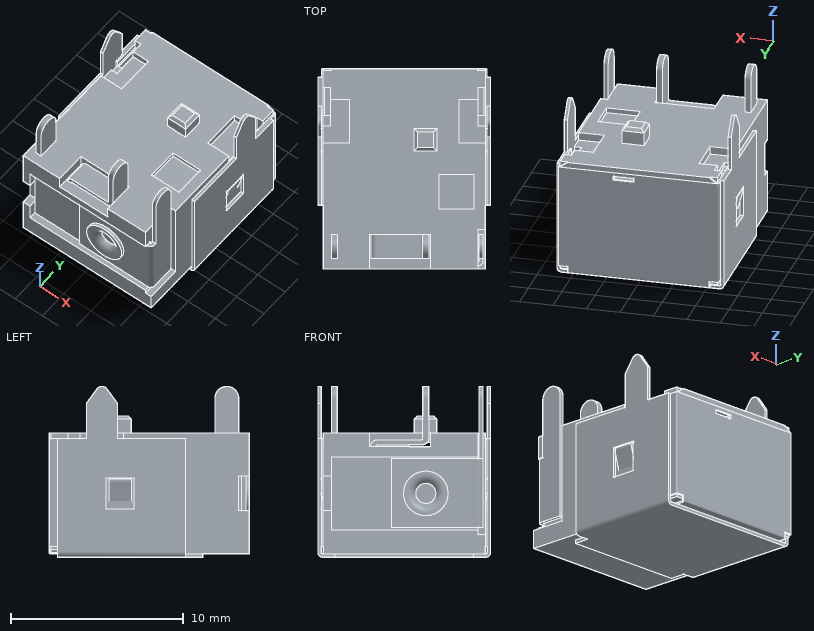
import cadquery as cq
import math


total_width = 10.0
total_length = 11.6
total_height = 9.9
shell_thickness = 0.2
cover_thickness = 0.1

shell_outer = total_width / 2
shell_inner = shell_outer - shell_thickness
housing_side = shell_inner - cover_thickness
housing_height = 7.01
pin_top = total_height - shell_thickness
front = -total_length / 2
rear = total_length / 2
cover_inner = rear - cover_thickness

shell_front = -2.11
shell_rear = 5.31
shell_top = 6.67
shell_bend_radius = 0.29
tongue_front = -3.1
tongue_half_width = 4.01
tab_center = 2.74
tab_width = 1.81
tab_shoulder = 8.71
tip_half_width = 0.31
tip_height = 0.17
window_y = (0.89, 2.49)
window_z = (2.59, 4.41)

peg_x = (0.57, 1.89)
lug_y = (1.03, 2.33)
peg_top = 7.99
peg_chamfer = 0.2
lug_bottom = 3.05
lug_edge = 4.18
lug_top = 4.35
rear_ledge_half_width = 4.23

cover_bottom = 0.42
lip_half_width = 4.23
cover_front = 3.07
cover_bend_radius = cover_thickness
lip_front = 4.64
lip_recess_height = 0.23

slot_inner = 4.28
side_slot_y = (2.47, 4.7)
side_slot_depth = 0.7
slot_well_outer = 4.6
slot_well_depth = 1.16
side_pocket_inner = 3.17
side_pocket_y = (1.5, 4.0)
side_pocket_depth = 0.48
square_x = (2.02, 4.03)
square_y = (-2.32, -0.31)
square_depth = 0.3
pin_pocket_x = (-2.02, 1.51)
pin_pocket_floor = 6.21
channel_left = 0.28
channel_top = 6.44

recess_left = -4.2
recess_z = (1.38, 5.61)
recess_floor = front + 0.45
notch_height = 2.0
notch_depth = 0.63
contact_slot_bottom = 1.11
contact_slot_rear = -3.51

pin_width = 1.39
pin_rear = -3.79
pin_front = pin_rear - pin_width
thick_pin = 0.36
left_pin_x = -4.22
center_pin_x = 1.07
strip_thickness = 0.29
strip_bottom = 6.31
strip_bend_left = -1.57
strip_bend_radius = 0.37
strip_inner_radius = 0.1
plate_x = (-0.73, 4.57)
plate_z = (1.53, 5.51)
plate_thickness = 0.25
plate_bend_radius = 0.28
hub_x = center_pin_x + thick_pin / 2
hub_z = housing_height / 2
hub_radius = 1.29
mouth_radius = 1.1
bore_radius = 0.58


def box(x_range, y_range, z_range):
    """Box between the given limits along each axis."""
    size = [high - low for low, high in (x_range, y_range, z_range)]
    corner = (x_range[0], y_range[0], z_range[0])
    return cq.Workplane("XY").box(*size, centered=False).translate(corner)


def both_sides(shape):
    """The shape together with its mirror image across X = 0."""
    return shape.union(shape.mirror("YZ"))


def arc_middle(center, radius, side_u, side_v):
    """Middle of a quarter arc on the given sides (1 or -1) of its center, in sketch coordinates."""
    offset = radius * math.sqrt(0.5)
    return (center[0] + side_u * offset, center[1] + side_v * offset)


def rear_channel():
    """Passage from the pocket of the middle pin out through the rear."""
    return box((channel_left, pin_pocket_x[1]), (pin_rear, rear), (pin_pocket_floor, channel_top))


def shell_tab():
    """Pointed solder tab with a rounded tip, rising from the side at +X."""
    half = tab_width / 2
    tip_shoulder = pin_top - tip_height
    return (
        cq.Workplane("YZ", origin=(shell_inner, tab_center, 0))
        .moveTo(-half, shell_top - shell_thickness)
        .lineTo(half, shell_top - shell_thickness)
        .lineTo(half, tab_shoulder)
        .lineTo(tip_half_width, tip_shoulder)
        .threePointArc((0, pin_top), (-tip_half_width, tip_shoulder))
        .lineTo(-half, tab_shoulder)
        .close()
        .extrude(shell_thickness)
    )


def rear_cover():
    """Thin rear wall with two side flanges and a lip folded under the housing."""
    span = (-shell_inner, shell_inner)
    wrap = box(span, (cover_front, rear), (cover_bottom, shell_top))
    wrap = wrap.edges("|Z and >Y").fillet(cover_bend_radius)
    inside = box((-housing_side, housing_side), (cover_front, cover_inner), (cover_bottom, shell_top))
    wrap = wrap.cut(inside)
    lip_span = (-lip_half_width, lip_half_width)
    fold = box(lip_span, (lip_front, rear), (0, cover_bottom))
    fold = fold.edges("|X and >Y and <Z").fillet(cover_bend_radius)
    fold = fold.cut(box(lip_span, (lip_front, cover_inner), (cover_thickness, cover_bottom)))
    return wrap.union(fold)


def make_shell():
    """U-shaped sheet with a bottom tongue, rear cover, two solder tabs and two latch windows."""
    length_y = (shell_front, shell_rear)
    outside = box((-shell_outer, shell_outer), length_y, (-shell_thickness, shell_top))
    outside = outside.edges("|Y and <Z").fillet(shell_bend_radius)
    inside = box((-shell_inner, shell_inner), length_y, (0, shell_top))
    inside = inside.edges("|Y and <Z").fillet(shell_bend_radius - shell_thickness)
    tongue = box(
        (-tongue_half_width, tongue_half_width), (tongue_front, shell_front), (-shell_thickness, 0)
    )
    windows = box((-shell_outer, shell_outer), window_y, window_z)
    sheet = outside.cut(inside).union(tongue).union(both_sides(shell_tab())).cut(windows)
    return sheet.union(rear_cover().cut(rear_channel()))


def peg():
    """Square locating peg with a chamfered top."""
    return box(peg_x, lug_y, (housing_height, peg_top)).faces(">Z").chamfer(peg_chamfer)


def rear_ledge():
    """Strip along the rear top edge, bevelled at both ends, that overhangs the shell cover."""
    return (
        cq.Workplane("XZ", origin=(0, rear, 0))
        .polyline([
            (-housing_side, shell_top),
            (housing_side, shell_top),
            (rear_ledge_half_width, housing_height),
            (-rear_ledge_half_width, housing_height),
        ])
        .close()
        .extrude(cover_thickness)
    )


def latch_lugs():
    """Wedges on both sides that widen upwards into the shell windows."""
    lug = (
        cq.Workplane("XZ", origin=(0, lug_y[1], 0))
        .polyline([
            (housing_side, lug_bottom),
            (shell_outer, lug_edge),
            (shell_outer, lug_top),
            (housing_side, lug_top),
        ])
        .close()
        .extrude(lug_y[1] - lug_y[0])
    )
    return both_sides(lug)


def top_pockets():
    """Side pockets, side slots with their deeper wells, square recess, and the pocket of the middle pin."""
    slot = box((slot_inner, housing_side), side_slot_y, (housing_height - side_slot_depth, housing_height))
    slot_well = box(
        (slot_inner, slot_well_outer),
        (cover_front, side_slot_y[1]),
        (housing_height - slot_well_depth, housing_height),
    )
    side_pocket = box(
        (side_pocket_inner, housing_side),
        side_pocket_y,
        (housing_height - side_pocket_depth, housing_height),
    )
    square = box(square_x, square_y, (housing_height - square_depth, housing_height))
    pin_pocket = box(pin_pocket_x, (front, pin_rear), (pin_pocket_floor, housing_height))
    return both_sides(side_pocket.union(slot).union(slot_well)).union(square).union(pin_pocket)


def front_recess():
    """Recess in the front face with a notch at its left and the contact slot at its right."""
    recess = box((recess_left, slot_inner), (front, recess_floor), recess_z)
    notch = box(
        (-housing_side, recess_left),
        (front, front + notch_depth),
        (hub_z - notch_height / 2, hub_z + notch_height / 2),
    )
    contact_slot = box(
        (slot_inner, housing_side), (front, contact_slot_rear), (contact_slot_bottom, housing_height)
    )
    return recess.union(notch).union(contact_slot)


def lip_recess():
    """Relief under the rear edge for the folded lip of the rear cover."""
    return box((-housing_side, housing_side), (lip_front, cover_inner), (0, lip_recess_height))


def upright_pin(x_left, thickness, bottom):
    """Flat solder pin with a fully rounded top."""
    radius = pin_width / 2
    return (
        cq.Workplane("YZ", origin=(x_left, 0, 0))
        .moveTo(pin_front, bottom)
        .lineTo(pin_rear, bottom)
        .lineTo(pin_rear, pin_top - radius)
        .threePointArc((pin_rear - radius, pin_top), (pin_front, pin_top - radius))
        .close()
        .extrude(thickness)
    )


def middle_strip():
    """Foot of the middle pin: bent flat over the pocket floor, then down into it."""
    pin_right = center_pin_x + thick_pin
    strip_top = strip_bottom + strip_thickness
    right_outer_radius = strip_inner_radius + strip_thickness
    right_outer = (pin_right - right_outer_radius, strip_bottom + right_outer_radius)
    right_inner = (center_pin_x - strip_inner_radius, strip_top + strip_inner_radius)
    left_inner_radius = strip_bend_radius - strip_thickness
    left_bend = (strip_bend_left, strip_top - strip_bend_radius)
    foot_left = strip_bend_left - strip_bend_radius
    foot_right = strip_bend_left - left_inner_radius
    return (
        cq.Workplane("XZ", origin=(0, pin_rear, 0))
        .moveTo(pin_right, right_outer[1])
        .threePointArc(arc_middle(right_outer, right_outer_radius, 1, -1), (right_outer[0], strip_bottom))
        .lineTo(strip_bend_left, strip_bottom)
        .threePointArc(arc_middle(left_bend, left_inner_radius, -1, 1), (foot_right, left_bend[1]))
        .lineTo(foot_right, pin_pocket_floor)
        .lineTo(foot_left, pin_pocket_floor)
        .lineTo(foot_left, left_bend[1])
        .threePointArc(arc_middle(left_bend, strip_bend_radius, -1, 1), (strip_bend_left, strip_top))
        .lineTo(right_inner[0], strip_top)
        .threePointArc(arc_middle(right_inner, strip_inner_radius, 1, -1), (center_pin_x, right_inner[1]))
        .lineTo(pin_right, right_inner[1])
        .close()
        .extrude(pin_width)
    )


def middle_contact():
    """Middle pin with its bent foot."""
    pin_start = strip_bottom + strip_thickness + strip_inner_radius
    return upright_pin(center_pin_x, thick_pin, pin_start).union(middle_strip())


def front_contact():
    """Plate in the front recess, bent back along the right slot, with its pin."""
    plate_front = recess_floor - plate_thickness
    plate_inner = plate_x[1] - plate_thickness
    plate = box(plate_x, (plate_front, pin_rear), plate_z)
    plate = plate.edges("|Z and >X and <Y").fillet(plate_bend_radius)
    plate = plate.cut(box((plate_x[0], plate_inner), (recess_floor, pin_rear), plate_z))
    pin = upright_pin(plate_inner, plate_thickness, plate_z[1])
    return plate.union(pin)


def hub():
    """Solid boss on the front plate, flush with the front face."""
    return (
        cq.Workplane("XZ", origin=(hub_x, recess_floor, hub_z))
        .circle(hub_radius)
        .extrude(recess_floor - front)
    )


def hub_bore():
    """Blind bore whose mouth flares out with a rounded lip."""
    flare = mouth_radius - bore_radius
    lip_center = (mouth_radius, flare)
    return (
        cq.Workplane("XY")
        .lineTo(mouth_radius, 0)
        .threePointArc(arc_middle(lip_center, flare, -1, -1), (bore_radius, flare))
        .lineTo(0, flare)
        .close()
        .revolve(360, (0, 0, 0), (0, 1, 0))
        .translate((hub_x, front, hub_z))
    )


def make_housing():
    """Moulded block joined with its peg, latch lugs and contacts."""
    block = box((-housing_side, housing_side), (front, cover_inner), (0, housing_height))
    block = block.cut(top_pockets()).cut(front_recess()).cut(lip_recess()).cut(rear_channel())
    block = block.union(rear_ledge()).union(peg()).union(latch_lugs())
    block = block.union(upright_pin(left_pin_x, thick_pin, housing_height))
    block = block.union(middle_contact()).union(front_contact())
    return block.union(hub()).cut(hub_bore())


housing = make_housing()
shell = make_shell()

result = cq.Compound.makeCompound([housing.val(), shell.val()])